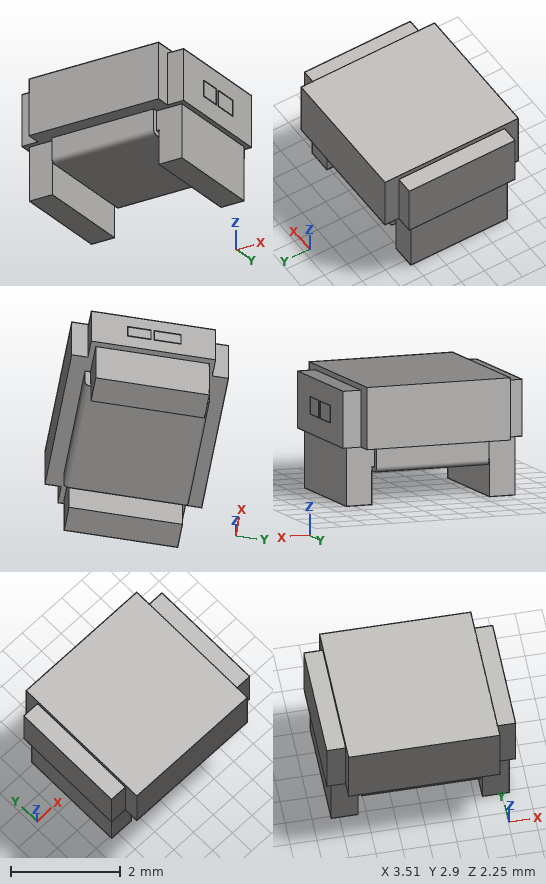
import cadquery as cq

cover_length = 2.8
cover_width = 2.9
cover_height = 1.15

overall_length = 3.51

flange_span = 3.5
flange_width = 2.3
flange_drop = 0.1
flange_height = cover_height - flange_drop

core_length = 2.2
core_width = flange_width
core_depth = 0.5
core_edge_radius = 0.1

leg_span = 3.3
leg_thickness = 0.5
leg_width = 2.1
leg_height = 1.1
shoulder_depth = core_depth - core_edge_radius

pad_height = 0.32
pad_thickness = overall_length - flange_span
pad_y_ranges = [(-0.477, -0.05), (0.015, 0.505)]


def box_above(length, width, height):
    """Box centred in X and Y that rises from Z = 0."""
    return cq.Workplane("XY").box(length, width, height, centered=(True, True, False))


def box_below(length, width, depth):
    """Box centred in X and Y that hangs down from Z = 0."""
    return box_above(length, width, depth).translate((0, 0, -depth))


def make_core():
    core = box_below(core_length, core_width, core_depth)
    return core.faces("<Z").edges("|X").fillet(core_edge_radius)


def make_legs():
    """Inverted U: a full-length shoulder with a leg at each end."""
    legs = box_below(leg_span, leg_width, shoulder_depth)
    leg_x = (leg_span - leg_thickness) / 2
    for side in (-1, 1):
        leg = box_below(leg_thickness, leg_width, leg_height)
        legs = legs.union(leg.translate((side * leg_x, 0, 0)))
    return legs


def make_pad(y_low, y_high):
    """Raised pad at mid-height of the +X flange face."""
    pad = cq.Workplane("XY").box(2 * pad_thickness, y_high - y_low, pad_height)
    return pad.translate((flange_span / 2, (y_low + y_high) / 2, flange_height / 2))


result = box_above(cover_length, cover_width, cover_height)
result = result.union(box_above(flange_span, flange_width, flange_height))
result = result.union(make_core())
result = result.union(make_legs())
for y_low, y_high in pad_y_ranges:
    result = result.union(make_pad(y_low, y_high))